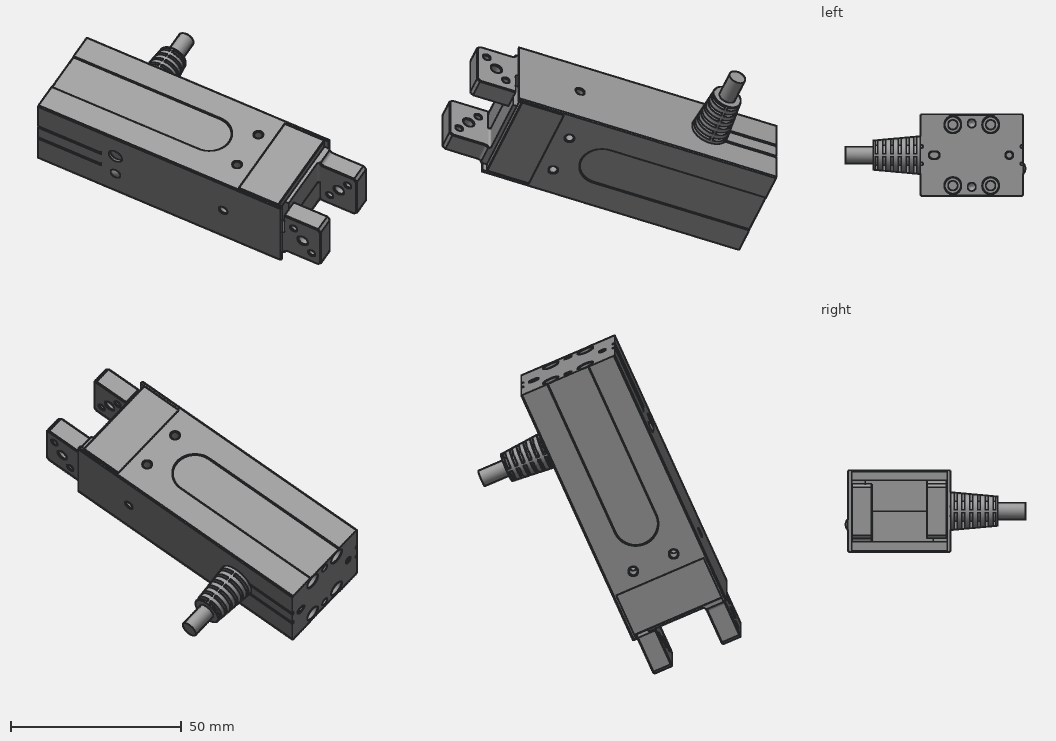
import cadquery as cq
import math

TOTAL_LENGTH = 93.9

HOUSING_LENGTH = 81.0
HOUSING_WIDTH = 30.05
HOUSING_HEIGHT = 24.0
EDGE_CHAMFER = 0.4
HALF_WIDTH = HOUSING_WIDTH / 2
HALF_HEIGHT = HOUSING_HEIGHT / 2

PANEL_WIDTH = 13.4
PANEL_END_X = 55.8
PANEL_DEPTH = 0.3
PANEL_WALL_ANGLE = 45

COVER_START_X = 66.6
COVER_END_X = 79.8
COVER_DEPTH = 0.3
COVER_CHAMFER = 0.2
POCKET_WIDTH = 28.0
POCKET_HEIGHT = 18.0
POCKET_START_X = 74.2

GROOVE_LENGTH = 21.0
GROOVE_RADIUS = 0.5
GROOVE_INSET = 0.3
GROOVE_Z = 2.5

BOLT_Y = 5.5
BOLT_Z = 8.9
BOLT_DIAMETER = 2.8
BOLT_DEPTH = 15.0
BOLT_HEAD_DIAMETER = 4.7
BOLT_HEAD_DEPTH = 2.8
REAR_TAP_Z = 9.3
DOWEL_Y = 11.0
DOWEL_DIAMETER = 2.0
DOWEL_SLOT_LENGTH = 2.9
DOWEL_DEPTH = 3.8

TAP_DIAMETER = 2.4
TAP_DEPTH = 5.6
TAP_TIP_DEPTH = 0.75
MOUTH_CHAMFER = 0.3
REAR_MOUTH_CHAMFER = 0.2
FRONT_TAP_X = 61.9
TOP_TAP_Y = 6.5

INDICATOR_X = 25.9
INDICATOR_Z = 3.9
WINDOW_DIAMETER = 4.4
WINDOW_DEPTH = 0.9
DOME_DIAMETER = 3.3
DOME_HEIGHT = 0.75

CABLE_X = GROOVE_LENGTH
CABLE_DIAMETER = 5.0
CABLE_LENGTH = 22.0
BOOT_LENGTH = 13.9
BOOT_BASE_DIAMETER = 11.2
BOOT_END_DIAMETER = 8.6
BOOT_CORE_DIAMETER = 5.9
BOOT_RIB_WIDTH = 0.8
BOOT_SLOT_WIDTH = 0.8
BOOT_SLOT_COUNT = 6
BOOT_SLOT_PITCH = 2.27
BOOT_FIRST_SLOT = 1.5

JAW_WIDTH = 6.0
JAW_HEIGHT = 16.0
JAW_ROOT_X = 81.8
JAW_OUTER_Y = POCKET_WIDTH / 2
JAW_INNER_Y = JAW_OUTER_Y - JAW_WIDTH
JAW_TIP_CHAMFER = 0.9
JAW_EDGE_CHAMFER = 0.3
JAW_ROOT_FILLET = JAW_ROOT_X - HOUSING_LENGTH
SLIDE_END_Y = -10.0
JAW_BORE_X = 87.9
JAW_BORE_DIAMETER = 3.1
JAW_PIN_DIAMETER = 2.0
JAW_PIN_DX = 3.0
JAW_PIN_DZ = 3.9


def block(x_range, y_range, z_range):
    """Box between two limits along each axis."""
    (x0, x1), (y0, y1), (z0, z1) = x_range, y_range, z_range
    return cq.Workplane("XY").box(x1 - x0, y1 - y0, z1 - z0, centered=False).translate((x0, y0, z0))


def face_plane(origin, inward):
    """Workplane at a surface point whose normal points into the material."""
    across = (0, 1, 0) if inward[1] == 0 else (1, 0, 0)
    return cq.Workplane(cq.Plane(origin=origin, xDir=across, normal=inward))


def mouth(origin, inward, diameter, chamfer=MOUTH_CHAMFER):
    """Countersink cone that opens a hole at its surface."""
    radius = diameter / 2
    cone = cq.Solid.makeCone(
        radius + chamfer, radius, chamfer, cq.Vector(*origin), cq.Vector(*inward)
    )
    return cq.Workplane(cone)


def tapped_hole(origin, inward):
    """Drilled hole with a conical bottom."""
    drill = face_plane(origin, inward).circle(TAP_DIAMETER / 2).extrude(TAP_DEPTH)
    direction = cq.Vector(*inward)
    tip_start = cq.Vector(*origin) + direction * TAP_DEPTH
    tip = cq.Workplane(cq.Solid.makeCone(TAP_DIAMETER / 2, 0, TAP_TIP_DEPTH, tip_start, direction))
    return drill.union(tip)


def countersunk_tap(origin, inward):
    """Tapped hole with a countersunk mouth."""
    return tapped_hole(origin, inward).union(mouth(origin, inward, TAP_DIAMETER))


def cut_panels(body):
    """Round-ended shallow recess with sloping walls on the top and bottom faces."""
    radius = PANEL_WIDTH / 2
    outline = (
        cq.Workplane("XY")
        .moveTo(-PANEL_DEPTH, -radius)
        .lineTo(PANEL_END_X - radius, -radius)
        .threePointArc((PANEL_END_X, 0), (PANEL_END_X - radius, radius))
        .lineTo(-PANEL_DEPTH, radius)
        .close()
    )
    panel = outline.extrude(-PANEL_DEPTH, taper=PANEL_WALL_ANGLE).translate((0, 0, HALF_HEIGHT))
    return body.cut(panel).cut(panel.mirror("XY"))


def cut_front_pocket(body):
    """Jaw pocket, the open front beyond the covers, and the recessed cover faces."""
    across = (-POCKET_WIDTH / 2, POCKET_WIDTH / 2)
    body = body.cut(
        block((POCKET_START_X, HOUSING_LENGTH), across, (-POCKET_HEIGHT / 2, POCKET_HEIGHT / 2))
    )
    cover_z = HALF_HEIGHT - COVER_DEPTH
    beyond_z = HOUSING_HEIGHT
    recess_profile = (
        cq.Workplane("XZ", origin=(0, POCKET_WIDTH / 2, 0))
        .moveTo(COVER_START_X, cover_z)
        .lineTo(COVER_END_X - COVER_CHAMFER, cover_z)
        .lineTo(COVER_END_X, cover_z - COVER_CHAMFER)
        .lineTo(COVER_END_X, 0)
        .lineTo(HOUSING_LENGTH, 0)
        .lineTo(HOUSING_LENGTH, beyond_z)
        .lineTo(COVER_START_X, beyond_z)
        .close()
    )
    recess = recess_profile.extrude(POCKET_WIDTH)
    return body.cut(recess).cut(recess.mirror("XY"))


def cut_side_grooves(body):
    """Two fine round grooves along the rear part of each side."""
    for side in (-1, 1):
        for z in (-GROOVE_Z, GROOVE_Z):
            groove = face_plane((0, side * (HALF_WIDTH - GROOVE_INSET), z), (1, 0, 0))
            body = body.cut(groove.circle(GROOVE_RADIUS).extrude(GROOVE_LENGTH))
    return body


def cut_rear_holes(body):
    """Counterbored bolt holes, tapped holes, a dowel hole and a dowel slot."""
    inward = (1, 0, 0)
    for z in (-BOLT_Z, BOLT_Z):
        for y in (-BOLT_Y, BOLT_Y):
            hole = face_plane((0, y, z), inward)
            body = body.cut(hole.circle(BOLT_DIAMETER / 2).extrude(BOLT_DEPTH))
            body = body.cut(hole.circle(BOLT_HEAD_DIAMETER / 2).extrude(BOLT_HEAD_DEPTH))
            body = body.cut(mouth((0, y, z), inward, BOLT_HEAD_DIAMETER, REAR_MOUTH_CHAMFER))
    for z in (-REAR_TAP_Z, REAR_TAP_Z):
        body = body.cut(tapped_hole((0, 0, z), inward))

    dowel_origin = (0, -DOWEL_Y, 0)
    body = body.cut(face_plane(dowel_origin, inward).circle(DOWEL_DIAMETER / 2).extrude(DOWEL_DEPTH))
    body = body.cut(mouth(dowel_origin, inward, DOWEL_DIAMETER, REAR_MOUTH_CHAMFER))

    slot_plane = face_plane((0, DOWEL_Y, 0), inward)
    body = body.cut(slot_plane.slot2D(DOWEL_SLOT_LENGTH, DOWEL_DIAMETER).extrude(DOWEL_DEPTH))
    slot_mouth = slot_plane.slot2D(
        DOWEL_SLOT_LENGTH + 2 * REAR_MOUTH_CHAMFER, DOWEL_DIAMETER + 2 * REAR_MOUTH_CHAMFER
    ).extrude(REAR_MOUTH_CHAMFER, taper=45)
    return body.cut(slot_mouth)


def cut_front_taps(body):
    """Tapped holes near the front: two on the top and bottom, one on each side."""
    for side in (-1, 1):
        for y in (-TOP_TAP_Y, TOP_TAP_Y):
            body = body.cut(countersunk_tap((FRONT_TAP_X, y, side * HALF_HEIGHT), (0, 0, -side)))
        body = body.cut(countersunk_tap((FRONT_TAP_X, side * HALF_WIDTH, 0), (0, -side, 0)))
    return body


def add_indicators(body):
    """Shallow round window and a spherical dome on the -Y side."""
    window = face_plane((INDICATOR_X, -HALF_WIDTH, INDICATOR_Z), (0, 1, 0))
    body = body.cut(window.circle(WINDOW_DIAMETER / 2).extrude(WINDOW_DEPTH))

    rim = DOME_DIAMETER / 2
    sphere_radius = (rim**2 + DOME_HEIGHT**2) / (2 * DOME_HEIGHT)
    centre_y = -HALF_WIDTH - DOME_HEIGHT + sphere_radius
    dome = cq.Workplane("XY").sphere(sphere_radius).translate((INDICATOR_X, centre_y, -INDICATOR_Z))
    return body.union(dome)


def make_housing():
    body = block(
        (0, HOUSING_LENGTH), (-HALF_WIDTH, HALF_WIDTH), (-HALF_HEIGHT, HALF_HEIGHT)
    ).edges("|X").chamfer(EDGE_CHAMFER)
    body = cut_panels(body)
    body = cut_front_pocket(body)
    body = cut_side_grooves(body)
    body = cut_rear_holes(body)
    body = cut_front_taps(body)
    return add_indicators(body)


def make_cable():
    """Round cable leaving the +Y side through a tapered, slotted boot."""
    axis = cq.Vector(0, 1, 0)
    foot = cq.Vector(CABLE_X, HALF_WIDTH, 0)
    boot = cq.Workplane(
        cq.Solid.makeCone(BOOT_BASE_DIAMETER / 2, BOOT_END_DIAMETER / 2, BOOT_LENGTH, foot, axis)
    )
    for i in range(BOOT_SLOT_COUNT):
        slot_y = HALF_WIDTH + BOOT_FIRST_SLOT + i * BOOT_SLOT_PITCH - BOOT_SLOT_WIDTH / 2
        plane = face_plane((CABLE_X, slot_y, 0), (0, 1, 0))
        ring = plane.circle(BOOT_BASE_DIAMETER / 2).circle(BOOT_CORE_DIAMETER / 2).extrude(BOOT_SLOT_WIDTH)
        for size in ((BOOT_BASE_DIAMETER, BOOT_RIB_WIDTH), (BOOT_RIB_WIDTH, BOOT_BASE_DIAMETER)):
            ring = ring.cut(plane.rect(*size).extrude(BOOT_SLOT_WIDTH))
        boot = boot.cut(ring)
    wire = cq.Workplane(cq.Solid.makeCylinder(CABLE_DIAMETER / 2, CABLE_LENGTH, foot, axis))
    return boot.union(wire)


def make_jaw_finger():
    """Finger of the +Y jaw together with the step that joins it to the slide."""
    half = JAW_HEIGHT / 2
    slide_top = POCKET_HEIGHT / 2
    top_fillet = slide_top - half
    mid_arc = math.sqrt(0.5)
    outline = (
        cq.Workplane("XZ", origin=(0, JAW_OUTER_Y, 0))
        .moveTo(HOUSING_LENGTH, slide_top)
        .lineTo(JAW_ROOT_X, slide_top)
        .threePointArc(
            (JAW_ROOT_X + top_fillet * (1 - mid_arc), slide_top - top_fillet * mid_arc),
            (JAW_ROOT_X + top_fillet, half),
        )
        .lineTo(TOTAL_LENGTH - JAW_TIP_CHAMFER, half)
        .lineTo(TOTAL_LENGTH, half - JAW_TIP_CHAMFER)
        .lineTo(TOTAL_LENGTH, JAW_TIP_CHAMFER - half)
        .lineTo(TOTAL_LENGTH - JAW_TIP_CHAMFER, -half)
        .lineTo(JAW_ROOT_X, -half)
        .lineTo(JAW_ROOT_X, -JAW_ROOT_FILLET)
        .threePointArc(
            (JAW_ROOT_X - JAW_ROOT_FILLET * (1 - mid_arc), -JAW_ROOT_FILLET * (1 - mid_arc)),
            (HOUSING_LENGTH, 0),
        )
        .close()
    )
    finger = outline.extrude(JAW_WIDTH)
    beyond_root = cq.selectors.BoxSelector(
        (JAW_ROOT_X + top_fillet, -HOUSING_WIDTH, -HOUSING_HEIGHT),
        (2 * TOTAL_LENGTH, HOUSING_WIDTH, HOUSING_HEIGHT),
    )
    return finger.faces("<Y or >Y").edges(beyond_root).chamfer(JAW_EDGE_CHAMFER)


def make_root_fillet():
    """Rounded inner corner between the finger and the front of the slide."""
    radius = JAW_ROOT_FILLET
    corner = block(
        (HOUSING_LENGTH, HOUSING_LENGTH + radius),
        (JAW_INNER_Y - radius, JAW_INNER_Y),
        (0, POCKET_HEIGHT / 2),
    )
    hollow = (
        cq.Workplane("XY")
        .center(HOUSING_LENGTH + radius, JAW_INNER_Y - radius)
        .circle(radius)
        .extrude(POCKET_HEIGHT / 2)
    )
    return corner.cut(hollow)


def cut_jaw_holes(jaw):
    """Central bore and two diagonal pin holes, countersunk on both sides."""
    holes = (
        (JAW_BORE_X, 0, JAW_BORE_DIAMETER),
        (JAW_BORE_X - JAW_PIN_DX, -JAW_PIN_DZ, JAW_PIN_DIAMETER),
        (JAW_BORE_X + JAW_PIN_DX, JAW_PIN_DZ, JAW_PIN_DIAMETER),
    )
    for x, z, diameter in holes:
        inner = (x, JAW_INNER_Y, z)
        outer = (x, JAW_OUTER_Y, z)
        jaw = jaw.cut(face_plane(inner, (0, 1, 0)).circle(diameter / 2).extrude(JAW_WIDTH))
        jaw = jaw.cut(mouth(inner, (0, 1, 0), diameter))
        jaw = jaw.cut(mouth(outer, (0, -1, 0), diameter))
    return jaw


def make_jaw():
    """The +Y jaw: a slide in the upper half of the pocket carrying the finger."""
    slide = block(
        (POCKET_START_X, HOUSING_LENGTH), (SLIDE_END_Y, JAW_OUTER_Y), (0, POCKET_HEIGHT / 2)
    )
    jaw = slide.union(make_jaw_finger()).union(make_root_fillet())
    return cut_jaw_holes(jaw)


housing = make_housing()
cable = make_cable()

jaws = []
for angle in (0, 180):
    jaws.append(make_jaw().rotate((0, 0, 0), (1, 0, 0), angle))

result = cq.Compound.makeCompound([housing.val(), cable.val(), *[jaw.val() for jaw in jaws]])